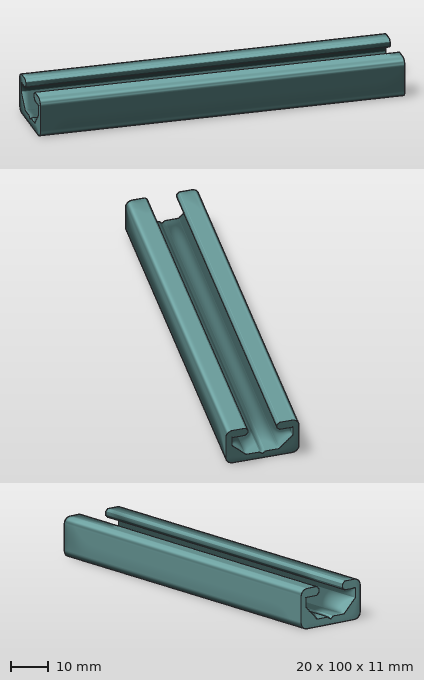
import cadquery as cq

width = 20.0
length = 100.0
height = 11.0

side_wall = 1.7
floor_thickness = 2.1
lip_thickness = 2.4
slot_width = 8.0

outer_radius = 2.0
lip_chamfer = 0.7
lip_radius = 0.3
haunch_radius = 0.3
groove_radius = 0.2
haunch_size = 3.8
groove_half_width = 0.8
groove_depth = 0.7

cavity_half_width = width / 2 - side_wall
floor_half_width = cavity_half_width - haunch_size
haunch_top = floor_thickness + haunch_size
lip_underside = height - lip_thickness
slot_half_width = slot_width / 2


def make_body():
    """Solid bar with its four long edges rounded."""
    return (
        cq.Workplane("XY")
        .box(width, length, height, centered=(True, True, False))
        .edges("|Y")
        .fillet(outer_radius)
    )


def long_edges(x, z):
    """Selector for the mirrored pair of lengthwise edges at +x and -x, height z."""
    right = cq.selectors.NearestToPointSelector((x, 0, z))
    left = cq.selectors.NearestToPointSelector((-x, 0, z))
    return right + left


def round_edges(body, x, z, radius):
    """Fillet the mirrored pair of lengthwise edges at +x and -x, height z."""
    return body.edges("|Y").edges(long_edges(x, z)).fillet(radius)


def make_cavity():
    """Inner channel with sloped haunches and a V-groove along the floor."""
    right_side = [
        (groove_half_width, floor_thickness),
        (floor_half_width, floor_thickness),
        (cavity_half_width, haunch_top),
        (cavity_half_width, lip_underside),
    ]
    left_side = [(-x, z) for x, z in reversed(right_side)]
    groove_bottom = (0, floor_thickness - groove_depth)
    cavity = (
        cq.Workplane("XZ")
        .polyline([groove_bottom] + right_side + left_side)
        .close()
        .extrude(length / 2, both=True)
    )
    for x, z in right_side[1:3]:
        cavity = round_edges(cavity, x, z, haunch_radius)
    cavity = round_edges(cavity, *right_side[0], groove_radius)
    return round_edges(cavity, *groove_bottom, groove_radius)


def make_slot():
    """Opening between the two lips."""
    return (
        cq.Workplane("XY")
        .workplane(offset=lip_underside)
        .box(slot_width, length, lip_thickness, centered=(True, True, False))
    )


channel = make_body().cut(make_cavity()).cut(make_slot())

for lip_edge, inward in ((height, -1), (lip_underside, 1)):
    channel = channel.edges("|Y").edges(long_edges(slot_half_width, lip_edge)).chamfer(lip_chamfer)
    chamfer_end = lip_edge + inward * lip_chamfer
    channel = round_edges(channel, slot_half_width, chamfer_end, lip_radius)
    channel = round_edges(channel, slot_half_width + lip_chamfer, lip_edge, lip_radius)

result = channel